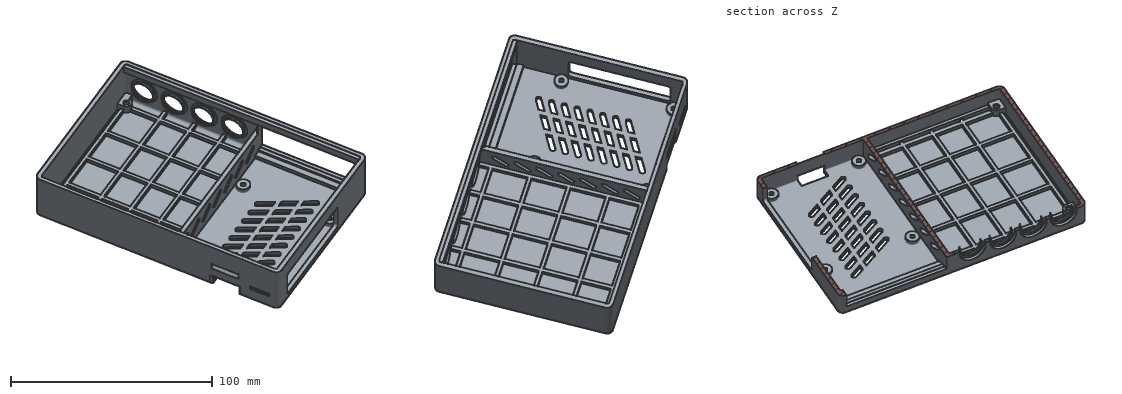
import cadquery as cq
import math

length = 138.0
width = 92.0
height = 26.9
side_wall = 2.5
end_wall = 2.1
floor_top = 2.1
corner_radius = 3.0
bottom_radius = 2.0
inner_radius = 1.0
front_floor_fillet = 0.5
back_floor_fillet = 1.2
inner_length = length - 2 * side_wall
inner_right = length - side_wall
inner_back = width - end_wall

divider_left = 76.0
divider_thickness = 2.5
divider_right = divider_left + divider_thickness
divider_top = 16.7
divider_slot_count = 7
divider_slot_pitch = 11.3
divider_slot_length = 9.7
divider_slot_width = 2.6
divider_slot_angle = 33.0
divider_slot_mid_y = 45.4
divider_slot_z = 9.4

rib_width = 2.0
rib_height = 2.0
rib_top = floor_top + rib_height
edge_rib_x = 5.2
first_rib_x = 25.0
rib_pitch_x = 16.7
pitched_rib_count = 4
long_rib_xs = [edge_rib_x] + [first_rib_x + i * rib_pitch_x for i in range(pitched_rib_count)]
back_rib_y = 83.9
rib_pitch_y = 20.1
front_rib_width = 2.3
front_ledge_depth = 1.8
front_ledge_rise = 1.0
front_ledge_top = rib_top + front_ledge_rise

frame_depth = 2.1
frame_front = inner_back - frame_depth
frame_post_width = 0.8
frame_left = divider_right - frame_post_width
rail_drop = 0.3
rail_top = height - rail_drop
rail_bottom = 22.8
window_left = divider_right
window_right = 134.3
window_bottom = 5.0
sill_step = 0.3
frame_corner_radius = 1.0
back_ledge_front = 84.6
back_ledge_top = rib_top
port_count = 4
port_first_x = 12.8
port_pitch = 17.0
port_z = 12.4
port_diameter = 11.6
port_recess_diameter = 14.6
port_recess_depth = 1.8
collar_diameter = 12.4
collar_height = 1.4

boss_left_x = 83.1
boss_right_x = 131.9
boss_front_y = 6.1
boss_back_y = 64.0
boss_diameter = 7.0
boss_height = 2.5
boss_foot_radius = 0.4
boss_hole = 2.3

post_x = 6.2
post_front_y = 6.1
post_back_y = 84.0
post_radius = 2.9
post_top = 6.3
post_hole = 2.3
post_hole_chamfer = 0.4

vent_count = 8
vent_pitch = 6.6
vent_centre = (107.2, 41.8)
vent_run = 25.4
vent_angle = 30.0
vent_width = 2.8
vent_web_xs = (103.0, 112.7)
vent_web_width = 2.8

side_window_front = 8.7
side_window_back = 61.4
side_window_bottom = 4.3
side_window_top = 18.4
side_window_radius = 1.4

card_x = 107.6
card_width = 14.9
card_height = 5.4
card_depth = 6.2
card_chamfer = 1.1
lamp_x = 107.5
lamp_width = 15.2
lamp_bottom = 11.7
lamp_inner_bottom = 13.5
lamp_top = 15.0
groove_left = 121.6
groove_right = 132.5
groove_bottom = 7.9
groove_height = 1.4
groove_depth = 0.5


def block(x0, x1, y0, y1, z0, z1):
    """Axis-aligned box given by its limits."""
    return cq.Workplane("XY").box(x1 - x0, y1 - y0, z1 - z0, centered=False).translate((x0, y0, z0))


def make_cove(plane, corner, side_u, side_v, radius, run):
    """Hollow quarter-round strip in an inside corner; side_u and side_v (+1 or -1) set its quadrant."""
    shift = radius * (1 - math.sqrt(0.5))
    profile = (cq.Workplane(plane, origin=corner).lineTo(side_u * radius, 0)
               .threePointArc((side_u * shift, side_v * shift), (0, side_v * radius)).close())
    return profile.extrude(run)


def make_shell():
    outer = block(0, length, 0, width, 0, height).edges("|Z").fillet(corner_radius)
    outer = outer.faces("<Z").edges().fillet(bottom_radius)
    cavity = block(side_wall, inner_right, end_wall, inner_back, floor_top, height)
    cavity = cavity.edges("|Z").fillet(inner_radius)
    shell = outer.cut(cavity)
    front_fillet = make_cove("YZ", (side_wall, end_wall, floor_top), 1, 1, front_floor_fillet, inner_length)
    back_fillet = make_cove("YZ", (side_wall, inner_back, floor_top), -1, 1, back_floor_fillet, inner_length)
    return shell.union(front_fillet).union(back_fillet)


def make_ribs():
    half = rib_width / 2
    ribs = block(side_wall, divider_left, end_wall, end_wall + front_ledge_depth, floor_top, front_ledge_top)
    for x in long_rib_xs:
        ribs = ribs.union(block(x - half, x + half, end_wall, inner_back, floor_top, rib_top))
    rows = [(back_rib_y - i * rib_pitch_y, half) for i in range(pitched_rib_count)]
    rows.append((post_front_y, front_rib_width / 2))
    for y, half_row in rows:
        ribs = ribs.union(block(edge_rib_x, divider_left, y - half_row, y + half_row, floor_top, rib_top))
    return ribs


def make_divider():
    wall = block(divider_left, divider_right, end_wall, inner_back, floor_top, divider_top)
    first_y = divider_slot_mid_y - (divider_slot_count - 1) / 2 * divider_slot_pitch
    centres = [(first_y + i * divider_slot_pitch, divider_slot_z) for i in range(divider_slot_count)]
    slots = (cq.Workplane("YZ", origin=(divider_left, 0, 0)).pushPoints(centres)
             .slot2D(divider_slot_length, divider_slot_width, divider_slot_angle).extrude(divider_thickness))
    return wall.cut(slots)


def make_back_frame():
    rail = block(side_wall, inner_right, frame_front, inner_back, rail_bottom, rail_top)
    frame = block(frame_left, inner_right, frame_front, inner_back, floor_top, rail_bottom)
    ledge = block(divider_right, inner_right, back_ledge_front, inner_back, floor_top, back_ledge_top)
    corner_foot = (inner_right, frame_front, floor_top)
    corner = make_cove("XY", corner_foot, -1, -1, frame_corner_radius, rail_top - floor_top)
    return rail.union(frame).union(ledge).union(corner)


def cut_back_openings(body):
    """Stepped window, plus collared ports recessed from the outside."""
    body = body.cut(block(window_left, window_right, frame_front, inner_back, window_bottom, rail_bottom))
    body = body.cut(block(window_left, window_right, inner_back, width, window_bottom + sill_step, rail_bottom))
    centres = [(port_first_x + i * port_pitch, port_z) for i in range(port_count)]
    wall_face = cq.Workplane("XZ", origin=(0, inner_back, 0)).pushPoints(centres)
    collars = wall_face.circle(collar_diameter / 2).extrude(collar_height)
    outer_face = cq.Workplane("XZ", origin=(0, width, 0)).pushPoints(centres)
    bores = outer_face.circle(port_diameter / 2).extrude(end_wall + collar_height)
    recesses = outer_face.circle(port_recess_diameter / 2).extrude(port_recess_depth)
    return body.union(collars).cut(bores).cut(recesses)


def make_boss(x, y):
    """Round boss with a filleted foot."""
    radius = boss_diameter / 2
    diagonal = boss_foot_radius * (1 - math.sqrt(0.5))
    profile = (cq.Workplane("XZ").lineTo(radius + boss_foot_radius, 0)
               .threePointArc((radius + diagonal, diagonal), (radius, boss_foot_radius))
               .lineTo(radius, boss_height).lineTo(0, boss_height).close())
    return profile.revolve(360, (0, 0, 0), (0, 1, 0)).translate((x, y, floor_top))


def add_bosses(body):
    spots = [(x, y) for x in (boss_left_x, boss_right_x) for y in (boss_front_y, boss_back_y)]
    for x, y in spots:
        body = body.union(make_boss(x, y))
    holes = cq.Workplane("XY").pushPoints(spots).circle(boss_hole / 2).extrude(height)
    return body.cut(holes)


def add_posts(body):
    """Two screw posts in the left corners, each filled out to its side and end walls."""
    fills = [(post_x, end_wall, post_front_y + post_radius),
             (post_x + post_radius, end_wall, post_front_y),
             (post_x, post_back_y - post_radius, inner_back)]
    for right, front, back in fills:
        body = body.union(block(side_wall, right, front, back, floor_top, post_top))
    for y in (post_front_y, post_back_y):
        foot = cq.Workplane("XY", origin=(post_x, y, floor_top))
        post = foot.circle(post_radius).extrude(post_top - floor_top)
        hole = foot.circle(post_hole / 2).extrude(post_top - floor_top)
        mouth = cq.Solid.makeCone(post_hole / 2, post_hole / 2 + post_hole_chamfer, post_hole_chamfer,
                                  cq.Vector(post_x, y, post_top - post_hole_chamfer))
        body = body.union(post).cut(hole).cut(cq.Workplane(mouth))
    return body


def make_vents():
    slant = math.radians(vent_angle)
    slot_length = vent_run / math.cos(slant) + vent_width
    centres = [(vent_centre[0], vent_centre[1] + (i - (vent_count - 1) / 2) * vent_pitch)
               for i in range(vent_count)]
    vents = cq.Workplane("XY").pushPoints(centres).slot2D(slot_length, vent_width, vent_angle).extrude(floor_top)
    half = vent_web_width / 2
    for x in vent_web_xs:
        vents = vents.cut(block(x - half, x + half, 0, width, 0, floor_top))
    return vents


def make_side_window():
    opening = block(inner_right, length, side_window_front, side_window_back,
                    side_window_bottom, side_window_top)
    return opening.edges("|X").fillet(side_window_radius)


def make_card_slot():
    """Notch through the front wall and floor edge, flared on its outer face and underside."""
    half = card_width / 2
    profile = [(0, 0), (card_depth + card_chamfer, 0), (card_depth, card_chamfer),
               (card_depth, card_height), (0, card_height)]
    notch = cq.Workplane("YZ", origin=(card_x - half, 0, 0)).polyline(profile).close().extrude(card_width)
    flare = (cq.Workplane("XZ").center(card_x, 0)
             .rect(card_width + 2 * card_chamfer, 2 * (card_height + card_chamfer))
             .workplane(offset=-card_chamfer).rect(card_width, 2 * card_height).loft())
    return notch.union(flare)


def make_lamp_slot():
    """Front slot whose sill climbs towards the inside."""
    profile = [(0, lamp_bottom), (end_wall, lamp_inner_bottom), (end_wall, lamp_top), (0, lamp_top)]
    return (cq.Workplane("YZ", origin=(lamp_x - lamp_width / 2, 0, 0)).polyline(profile).close()
            .extrude(lamp_width))


def make_groove():
    """Shallow line in the outside of the front wall."""
    return block(groove_left, groove_right, 0, groove_depth, groove_bottom, groove_bottom + groove_height)


body = make_shell().union(make_ribs()).union(make_divider()).union(make_back_frame())
body = cut_back_openings(body)
body = add_bosses(body)
body = add_posts(body)
for opening in (make_vents(), make_side_window(), make_card_slot(), make_lamp_slot(), make_groove()):
    body = body.cut(opening)
result = body